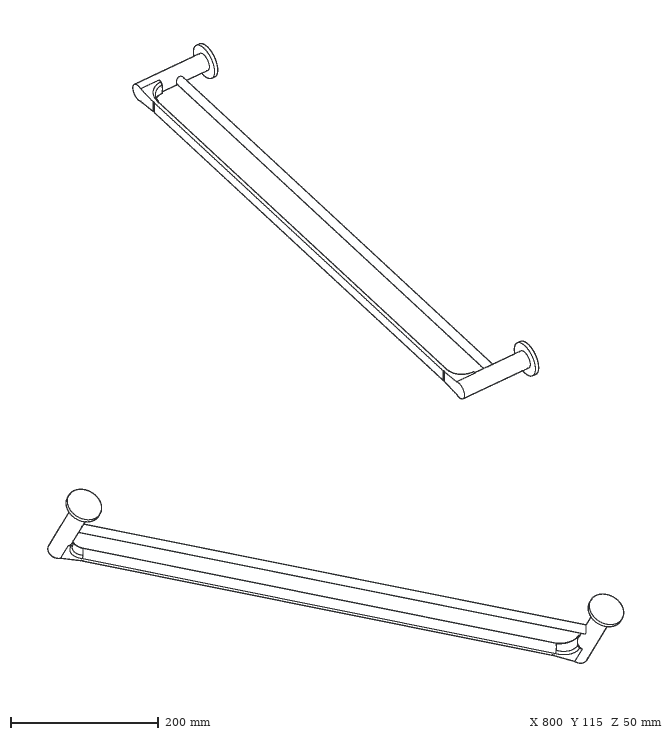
import cadquery as cq

total_length = 800.0
total_depth = 115.0
flange_diameter = 50.0
flange_thickness = 6.0
post_diameter = 26.0

rail_height = 18.0
rail_side_depth = 6.0
rail_depth = 9.0

elbow_radius = 22.0
elbow_root_height = 24.0
elbow_end_height = rail_height
elbow_edge_chamfer = rail_depth - rail_side_depth
joint_width = 2.0
joint_depth = 1.0

rear_rail_diameter = 13.0
rear_rail_setback = 54.0

wall_y = total_depth / 2
front_y = -wall_y
post_x = (total_length - flange_diameter) / 2
post_radius = post_diameter / 2
elbow_end_x = post_x - post_radius - elbow_radius


def make_post(x):
    """Round post standing on its wall flange."""
    wall_plane = cq.Workplane("XZ", origin=(x, wall_y, 0))
    flange = wall_plane.circle(flange_diameter / 2).extrude(flange_thickness)
    post = wall_plane.circle(post_radius).extrude(total_depth)
    return flange.union(post)


def make_elbow():
    """Elbow at the +X end: curved in plan and tapering in height toward the rail."""
    back_y = front_y + rail_depth
    inner_x = post_x - post_radius
    diagonal = elbow_radius * (1 - 0.5**0.5)
    plan = (
        cq.Workplane("XY")
        .moveTo(post_x, front_y)
        .lineTo(elbow_end_x, front_y)
        .lineTo(elbow_end_x, back_y)
        .threePointArc(
            (inner_x - diagonal, back_y + diagonal),
            (inner_x, back_y + elbow_radius),
        )
        .lineTo(post_x, back_y + elbow_radius)
        .close()
        .extrude(elbow_root_height / 2, both=True)
    )
    taper = (
        cq.Workplane("XZ")
        .polyline([
            (post_x, elbow_root_height / 2),
            (elbow_end_x, elbow_end_height / 2),
            (elbow_end_x, -elbow_end_height / 2),
            (post_x, -elbow_root_height / 2),
        ])
        .close()
        .extrude(wall_y, both=True)
    )
    inner_curve = plan.intersect(taper).faces("%CYLINDER")
    return inner_curve.edges("not |Z").edges("not |Y").chamfer(elbow_edge_chamfer)


def make_front_rail():
    """Flat bar with a bulged back, running between the elbows."""
    side_y = front_y + rail_side_depth
    half_height = rail_height / 2
    return (
        cq.Workplane("YZ")
        .moveTo(front_y, -half_height)
        .lineTo(side_y, -half_height)
        .threePointArc((front_y + rail_depth, 0), (side_y, half_height))
        .lineTo(front_y, half_height)
        .close()
        .extrude(elbow_end_x, both=True)
    )


def make_joint_groove(x):
    """Shallow groove across the front face where the rail meets an elbow."""
    return cq.Workplane("XY").box(
        joint_width, 2 * joint_depth, elbow_root_height
    ).translate((x, front_y, 0))


rear_rail = (
    cq.Workplane("YZ", origin=(0, wall_y - rear_rail_setback, 0))
    .circle(rear_rail_diameter / 2)
    .extrude(post_x, both=True)
)
elbow = make_elbow()

result = make_front_rail().union(rear_rail).union(elbow).union(elbow.mirror("YZ"))
for side in (-1, 1):
    result = result.union(make_post(side * post_x))
    groove_x = side * (elbow_end_x - joint_width / 2)
    result = result.cut(make_joint_groove(groove_x))